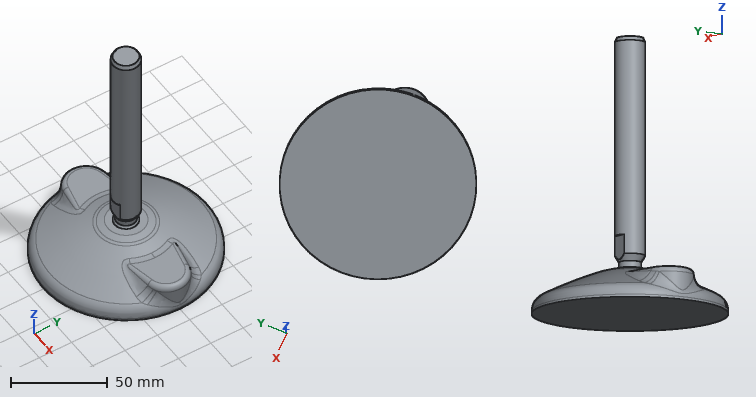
import cadquery as cq
import math

foot_radius = 51.005
rim_height = 1.5
rim_round = 7.6
rim_slope = math.radians(26.6)
dome_round = 260.0
hub_base_radius = 17.3
hub_shoulder_radius = 15.5
hub_shoulder_height = 21.4
hub_top_radius = 11.3
hub_top_height = 22.5

lug_top = 17.8
lug_end_radius = 13.2
lug_end_centre = 37.4
lug_inner_end = 15.0
lug_side_angle = math.radians(12.0)
lug_edge_round = 3.1
lug_blend = 9.0

stud_radius = 8.0
stud_top = 145.0
tip_radius = 6.95
tip_height = 2.3
shoulder_bottom = 27.0
shoulder_top = 30.5
neck_radius = 5.85
neck_bottom = 23.8
collar_radius = 6.95
collar_depth = 10.0
collar_bottom = hub_top_height - collar_depth
flat_width = 13.0
flat_top = 40.7

dome_edge_radius = foot_radius - rim_round * (1 - math.sin(rim_slope))
dome_edge_height = rim_height + rim_round * math.cos(rim_slope)
dome_centre_radius = dome_edge_radius - dome_round * math.sin(rim_slope)
dome_centre_height = dome_edge_height - dome_round * math.cos(rim_slope)


def dome_point(radius):
    """Radius and height of a point on the dome arc."""
    rise = math.sqrt(dome_round**2 - (radius - dome_centre_radius) ** 2)
    return radius, dome_centre_height + rise


def make_dome():
    """Solid of revolution with rim, dome and hub."""
    half_turn = (math.pi / 2 - rim_slope) / 2
    rim_middle = (
        foot_radius - rim_round * (1 - math.cos(half_turn)),
        rim_height + rim_round * math.sin(half_turn),
    )
    dome_middle = dome_point((dome_edge_radius + hub_base_radius) / 2)
    return (
        cq.Workplane("XZ")
        .lineTo(foot_radius, 0)
        .lineTo(foot_radius, rim_height)
        .threePointArc(rim_middle, (dome_edge_radius, dome_edge_height))
        .threePointArc(dome_middle, dome_point(hub_base_radius))
        .lineTo(hub_shoulder_radius, hub_shoulder_height)
        .tangentArcPoint((hub_top_radius, hub_top_height), relative=False)
        .lineTo(0, hub_top_height)
        .close()
        .revolve(360, (0, 0, 0), (0, 1, 0))
    )


def make_lug():
    """Lug on the -X side: round outer end, sides spreading toward the hub, rounded top edge."""
    tangent_x = -lug_end_centre - lug_end_radius * math.sin(lug_side_angle)
    tangent_y = lug_end_radius * math.cos(lug_side_angle)
    inner_x = -lug_inner_end
    inner_y = tangent_y + (inner_x - tangent_x) * math.tan(lug_side_angle)
    return (
        cq.Workplane("XY")
        .workplane(offset=rim_height)
        .moveTo(inner_x, inner_y)
        .lineTo(tangent_x, tangent_y)
        .threePointArc((-lug_end_centre - lug_end_radius, 0), (tangent_x, -tangent_y))
        .lineTo(inner_x, -inner_y)
        .close()
        .extrude(lug_top - rim_height)
        .faces(">Z")
        .edges("not >X")
        .fillet(lug_edge_round)
    )


def make_foot():
    """Dome with both lugs blended in and a blind hole for the stud collar."""
    lug = make_lug()
    body = make_dome().union(lug).union(lug.mirror("YZ"))
    body = body.edges("%BSPLINE").fillet(lug_blend)
    collar_hole = cq.Workplane("XY").workplane(offset=collar_bottom).circle(collar_radius).extrude(collar_depth)
    return body.cut(collar_hole)


def make_stud():
    """Turned stud with two wrench flats across Y at its lower end."""
    stud = (
        cq.Workplane("XZ")
        .moveTo(0, collar_bottom)
        .lineTo(collar_radius, collar_bottom)
        .lineTo(collar_radius, hub_top_height)
        .lineTo(neck_radius, neck_bottom)
        .lineTo(neck_radius, shoulder_bottom)
        .lineTo(stud_radius, shoulder_top)
        .lineTo(stud_radius, stud_top - tip_height)
        .lineTo(tip_radius, stud_top)
        .lineTo(0, stud_top)
        .close()
        .revolve(360, (0, 0, 0), (0, 1, 0))
    )
    flat_cutter = cq.Workplane("XY").box(
        2 * stud_radius, stud_radius, flat_top - shoulder_bottom, centered=(True, True, False)
    )
    cutter_offset = (flat_width + stud_radius) / 2
    for side in (-1, 1):
        stud = stud.cut(flat_cutter.translate((0, side * cutter_offset, shoulder_bottom)))
    return stud


foot = make_foot()
stud = make_stud()
result = cq.Compound.makeCompound([foot.val(), stud.val()])